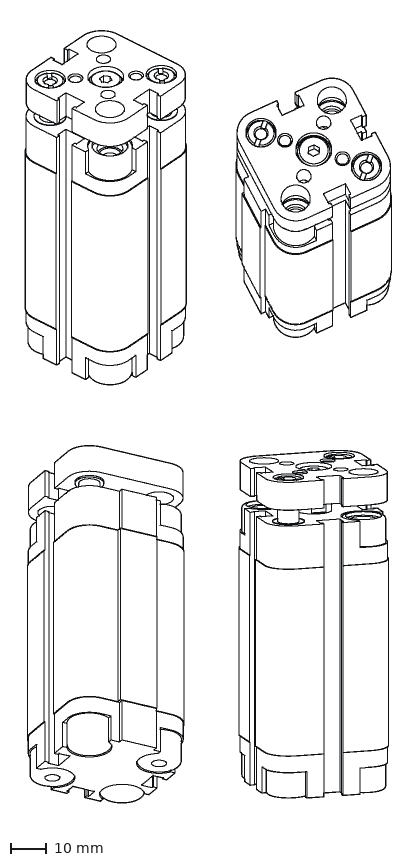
import cadquery as cq
import math


TOTAL_HEIGHT = 90.5
YOKE_THICKNESS = 8.0
YOKE_GAP = 4.5
CAP_HEIGHT = 12.3
YOKE_BOTTOM = TOTAL_HEIGHT - YOKE_THICKNESS
HOUSING_TOP = YOKE_BOTTOM - YOKE_GAP
BARREL_BOTTOM = CAP_HEIGHT
BARREL_TOP = HOUSING_TOP - CAP_HEIGHT

BARREL_WIDTH = 36.0
CAP_WIDTH = 35.5
YOKE_WIDTH = 35.4
CORNER_CENTRE = 11.0
SCREW_CORNERS = [(-CORNER_CENTRE, CORNER_CENTRE), (CORNER_CENTRE, -CORNER_CENTRE)]
GUIDE_CORNERS = [(CORNER_CENTRE, CORNER_CENTRE), (-CORNER_CENTRE, -CORNER_CENTRE)]

PAD_LEFT = -5.75
BARREL_PAD_RIGHT = 5.75
CAP_PAD_RIGHT = 5.1
BARREL_PAD_FACE_Y = 19.5
CAP_PAD_FACE_Y = 19.2

SLOT_FLOOR = 13.1
SLOT_LIP_INNER = 16.5
SLOT_NECK = 5.6
SLOT_WIDTH = 6.8

BOSS_DIAMETER = 12.5
BOSS_HEIGHT = 7.5
BOSS_FILLET = 1.0
NOTCH_WALL = 7.8
SCREW_HOLE_DIAMETER = 4.13
SCREW_CHAMFER_DIAMETER = 6.0
BOSS_BORE_DIAMETER = 7.2
BOSS_BORE_DEPTH = 3.0
BOSS_MOUTH_DIAMETER = 10.0
BOSS_MOUTH_DEPTH = 1.0

ROD_DIAMETER = 10.0
ROD_FLATS = 9.0
ROD_FLAT_START = HOUSING_TOP + 0.3
ROD_END_DIAMETER = 9.0
ROD_END_FACE_DIAMETER = 8.0
ROD_END_RECESS = 0.8
HEX_ACROSS_FLATS = 3.0
HEX_DEPTH = 3.0

GUIDE_DIAMETER = 6.0
FLANGE_DIAMETER = 8.1
FLANGE_THICKNESS = 0.5
GUIDE_SEAT_DIAMETER = 9.0
GUIDE_SEAT_DEPTH = 0.15
HEAD_POCKET_DIAMETER = 8.5
HEAD_DIAMETER = 8.1
HEAD_FACE_DIAMETER = 7.2
HEAD_RECESS = 0.4
HEAD_HOLE_DIAMETER = 4.0
HEAD_HOLE_DEPTH = 0.8
HEAD_SLOT_WIDTH = 1.3
HEAD_SLOT_DEPTH = 0.5
HEAD_SLOT_ANGLE = -45.0

POCKET_DEPTH = 2.0
ACCESS_HOLE_DIAMETER = 8.1
INNER_HOLE_CENTRE = 6.0
PLAIN_HOLE_DIAMETER = 4.0
THREAD_RIM_DIAMETER = 4.13
THREAD_CORE_DIAMETER = 3.24


def cylinder(diameter, bottom, top, centre=(0, 0)):
    return cq.Workplane("XY", origin=(*centre, bottom)).circle(diameter / 2).extrude(top - bottom)


def cone(bottom_diameter, top_diameter, bottom, top, centre=(0, 0)):
    start = cq.Vector(*centre, bottom)
    solid = cq.Solid.makeCone(bottom_diameter / 2, top_diameter / 2, top - bottom, start, cq.Vector(0, 0, 1))
    return cq.Workplane(solid)


def rounded_square(width, bottom, top):
    corner_radius = width / 2 - CORNER_CENTRE
    block = cq.Workplane("XY", origin=(0, 0, bottom)).rect(width, width).extrude(top - bottom)
    return block.edges("|Z").fillet(corner_radius)


def slot_box(inner, outer, width):
    block = cq.Workplane("XY").rect(outer - inner, width).extrude(TOTAL_HEIGHT)
    return block.translate(((inner + outer) / 2, 0, 0))


def t_slot(angle):
    slot = slot_box(SLOT_FLOOR, SLOT_LIP_INNER, SLOT_WIDTH)
    slot = slot.union(slot_box(SLOT_FLOOR, BARREL_WIDTH, SLOT_NECK))
    return slot.rotate((0, 0, 0), (0, 0, 1), angle)


def cut_slots(body):
    for angle in (0, 180, 270):
        body = body.cut(t_slot(angle))
    return body


def housing_section(width, pad_right, pad_face_y, bottom, top):
    pad_centre_x = (PAD_LEFT + pad_right) / 2
    pad = cq.Workplane("XY", origin=(pad_centre_x, pad_face_y / 2, bottom)).rect(pad_right - PAD_LEFT, pad_face_y)
    return rounded_square(width, bottom, top).union(pad.extrude(top - bottom))


def corner_notch(centre, bottom, outer_face):
    """Square corner notch, open outwards, around a round boss with a filleted outer rim."""
    x, y = centre
    size = BARREL_WIDTH
    offset = NOTCH_WALL + size / 2
    notch = cq.Workplane("XY", origin=(math.copysign(offset, x), math.copysign(offset, y), bottom))
    notch = notch.rect(size, size).extrude(BOSS_HEIGHT)
    boss = cylinder(BOSS_DIAMETER, bottom, bottom + BOSS_HEIGHT, centre)
    rounded_boss = boss.faces(outer_face).edges().fillet(BOSS_FILLET)
    return notch.union(boss).cut(rounded_boss)


def screw_hole(centre):
    bore_floor = HOUSING_TOP - BOSS_BORE_DEPTH
    chamfer_depth = (SCREW_CHAMFER_DIAMETER - SCREW_HOLE_DIAMETER) / 2
    hole = cylinder(SCREW_HOLE_DIAMETER, 0, HOUSING_TOP, centre)
    chamfer_start = bore_floor - chamfer_depth
    hole = hole.union(cone(SCREW_HOLE_DIAMETER, SCREW_CHAMFER_DIAMETER, chamfer_start, bore_floor, centre))
    hole = hole.union(cylinder(BOSS_BORE_DIAMETER, bore_floor, HOUSING_TOP, centre))
    return hole.union(cylinder(BOSS_MOUTH_DIAMETER, HOUSING_TOP - BOSS_MOUTH_DEPTH, HOUSING_TOP, centre))


def make_housing():
    body = housing_section(BARREL_WIDTH, BARREL_PAD_RIGHT, BARREL_PAD_FACE_Y, BARREL_BOTTOM, BARREL_TOP)
    for bottom, top in ((0, BARREL_BOTTOM), (BARREL_TOP, HOUSING_TOP)):
        body = body.union(housing_section(CAP_WIDTH, CAP_PAD_RIGHT, CAP_PAD_FACE_Y, bottom, top))
    body = cut_slots(body)
    for centre in SCREW_CORNERS + GUIDE_CORNERS:
        body = body.cut(corner_notch(centre, 0, "<Z"))
    for centre in SCREW_CORNERS:
        body = body.cut(corner_notch(centre, HOUSING_TOP - BOSS_HEIGHT, ">Z"))
        body = body.cut(screw_hole(centre))
    for centre in GUIDE_CORNERS:
        body = body.cut(cylinder(GUIDE_DIAMETER, BARREL_TOP, HOUSING_TOP, centre))
        body = body.cut(cylinder(GUIDE_SEAT_DIAMETER, HOUSING_TOP - GUIDE_SEAT_DEPTH, HOUSING_TOP, centre))
    return body.cut(cylinder(ROD_DIAMETER, BARREL_TOP, HOUSING_TOP))


def piston_rod():
    rod = cylinder(ROD_DIAMETER, BARREL_TOP, YOKE_BOTTOM)
    flat_height = YOKE_BOTTOM - ROD_FLAT_START
    for side in (-1, 1):
        centre_y = side * (ROD_FLATS + ROD_DIAMETER) / 2
        waste = cq.Workplane("XY", origin=(0, centre_y, ROD_FLAT_START)).rect(ROD_DIAMETER, ROD_DIAMETER)
        rod = rod.cut(waste.extrude(flat_height))
    return rod


def pocket_around_end(pocket_diameter, end_diameter, face_diameter, recess, centre=(0, 0)):
    """Round pocket in the yoke top around a sunken rod end that has a 45 degree chamfer."""
    floor = TOTAL_HEIGHT - POCKET_DEPTH
    face = TOTAL_HEIGHT - recess
    shoulder = face - (end_diameter - face_diameter) / 2
    pocket = cylinder(pocket_diameter, floor, TOTAL_HEIGHT, centre)
    pocket = pocket.cut(cylinder(end_diameter, floor, shoulder, centre))
    return pocket.cut(cone(end_diameter, face_diameter, shoulder, face, centre))


def rod_end_recess():
    pocket = pocket_around_end(ROD_DIAMETER, ROD_END_DIAMETER, ROD_END_FACE_DIAMETER, ROD_END_RECESS)
    across_corners = HEX_ACROSS_FLATS / math.cos(math.pi / 6)
    socket = cq.Workplane("XY", origin=(0, 0, TOTAL_HEIGHT - ROD_END_RECESS)).polygon(6, across_corners)
    return pocket.union(socket.extrude(-HEX_DEPTH).rotate((0, 0, 0), (0, 0, 1), 90))


def guide_rod(centre):
    rod = cylinder(GUIDE_DIAMETER, BARREL_TOP, YOKE_BOTTOM, centre)
    return rod.union(cylinder(FLANGE_DIAMETER, YOKE_BOTTOM - FLANGE_THICKNESS, YOKE_BOTTOM, centre))


def guide_head_recess(centre):
    """Pocket around the slotted head of a guide rod, with the tapered dimple in its middle."""
    face = TOTAL_HEIGHT - HEAD_RECESS
    pocket = pocket_around_end(HEAD_POCKET_DIAMETER, HEAD_DIAMETER, HEAD_FACE_DIAMETER, HEAD_RECESS, centre)
    dimple = cone(THREAD_CORE_DIAMETER, HEAD_HOLE_DIAMETER, face - HEAD_HOLE_DEPTH, face, centre)
    slot = cq.Workplane("XY", origin=(0, 0, face)).rect(HEAD_DIAMETER, HEAD_SLOT_WIDTH)
    slot = slot.extrude(-HEAD_SLOT_DEPTH).rotate((0, 0, 0), (0, 0, 1), HEAD_SLOT_ANGLE)
    return pocket.union(dimple).union(slot.translate((*centre, 0)))


def threaded_hole(centre):
    chamfer_start = TOTAL_HEIGHT - (THREAD_RIM_DIAMETER - THREAD_CORE_DIAMETER) / 2
    hole = cylinder(THREAD_CORE_DIAMETER, YOKE_BOTTOM, TOTAL_HEIGHT, centre)
    return hole.union(cone(THREAD_CORE_DIAMETER, THREAD_RIM_DIAMETER, chamfer_start, TOTAL_HEIGHT, centre))


def make_yoke():
    body = cut_slots(rounded_square(YOKE_WIDTH, YOKE_BOTTOM, TOTAL_HEIGHT))
    body = body.union(piston_rod()).cut(rod_end_recess())
    for centre in GUIDE_CORNERS:
        body = body.union(guide_rod(centre)).cut(guide_head_recess(centre))
    for centre in SCREW_CORNERS:
        body = body.cut(cylinder(ACCESS_HOLE_DIAMETER, YOKE_BOTTOM, TOTAL_HEIGHT, centre))
    for side in (-1, 1):
        x = side * INNER_HOLE_CENTRE
        body = body.cut(cylinder(PLAIN_HOLE_DIAMETER, YOKE_BOTTOM, TOTAL_HEIGHT, (x, -x)))
        body = body.cut(threaded_hole((x, x)))
    return body


housing = make_housing()
yoke = make_yoke()
result = cq.Compound.makeCompound([housing.val(), yoke.val()])